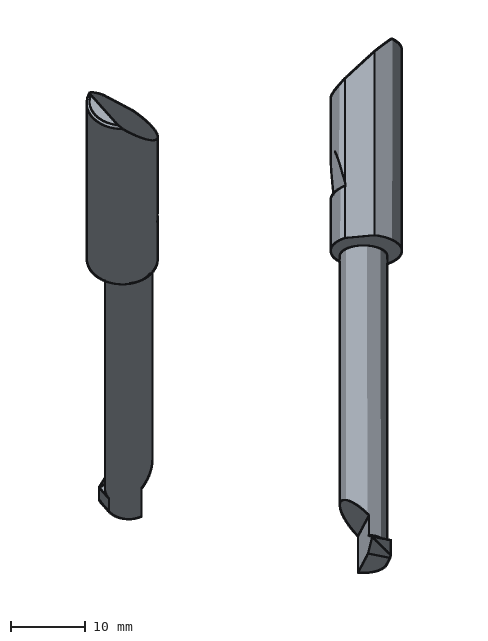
import cadquery as cq
import math

total_length = 76.2
shank_diameter = 9.525
shank_radius = shank_diameter / 2
shank_length = 30.4
shank_base = total_length - shank_length

neck_diameter = 6.35
neck_radius = neck_diameter / 2
neck_center_x = shank_radius - neck_radius

end_land_y = -2.84
end_chamfer_width = 0.4
end_chamfer_height = 0.3

flat_tilt = 25.0

notch_depth = 1.2
notch_ramp_angle = 10.0
notch_bottom = 53.65

relief_bottom = 5.45
relief_angle = 45.0

point_x = -3.39
point_z = 1.35
point_half_angle = 30.0
flank_clearance = 6.0
tip_height = 2.55
heel_left_x = -0.86
heel_right_x = 1.7


def prism_along_x(points):
    """Solid of a YZ outline that spans the whole part in X."""
    return cq.Workplane("YZ").polyline(points).close().extrude(shank_diameter, both=True)


def make_shank():
    shank = (
        cq.Workplane("XY")
        .workplane(offset=shank_base)
        .circle(shank_radius)
        .extrude(shank_length)
        .faces(">Z")
        .chamfer(end_chamfer_height, end_chamfer_width)
    )
    return shank.cut(end_bevel()).cut(locating_flat()).cut(clamping_notch())


def end_bevel():
    run = shank_diameter
    return prism_along_x([
        (end_land_y, total_length),
        (end_land_y + run, total_length - run),
        (end_land_y + run, total_length),
    ])


def locating_flat():
    """Block beyond the chord that starts at (-shank_radius, 0) and leans by the tilt."""
    tilt = math.radians(flat_tilt)
    chord_distance = shank_radius * math.cos(tilt)
    return (
        cq.Workplane("XY")
        .box(shank_radius, shank_diameter, shank_length, centered=(False, True, False))
        .translate((chord_distance, 0, shank_base))
        .rotate((0, 0, 0), (0, 0, 1), 180 - flat_tilt)
    )


def clamping_notch():
    """Ramp sinking toward the neck, closed by a wall square to it."""
    slope = math.tan(math.radians(notch_ramp_angle))
    floor_y = shank_radius - notch_depth
    outer_y = shank_radius + notch_depth
    reach = outer_y - floor_y
    return prism_along_x([
        (floor_y, notch_bottom),
        (outer_y, notch_bottom - reach * slope),
        (outer_y, notch_bottom + reach / slope),
    ])


def make_neck():
    neck = (
        cq.Workplane("XY")
        .center(neck_center_x, 0)
        .circle(neck_radius)
        .extrude(shank_base)
    )
    return neck.cut(neck_relief())


def neck_relief():
    rise = neck_diameter * math.tan(math.radians(relief_angle))
    return prism_along_x([
        (0, 0),
        (0, relief_bottom),
        (neck_diameter, relief_bottom + rise),
        (neck_diameter, 0),
    ])


def make_tip():
    """Wedge-shaped plan with its cutting face on Y = 0 and its heel on the -Y side."""
    return (
        cq.Workplane("XY")
        .polyline([
            (point_x, 0),
            (heel_left_x, -neck_radius),
            (heel_right_x, -neck_radius),
            (heel_right_x, 0),
        ])
        .close()
        .extrude(tip_height)
    )


def point_flank(end_z):
    """Waste between one flank of the point and the tip face at height end_z.

    The flank leans inward toward -Y by the clearance angle, so it widens away from the cutting face.
    """
    toward_end = math.copysign(1, end_z - point_z)
    drop = neck_diameter * math.tan(math.radians(flank_clearance))
    inner_z = point_z - toward_end * drop
    return (
        cq.Workplane("XZ")
        .polyline(flank_triangle(point_z, end_z))
        .close()
        .workplane(offset=neck_diameter)
        .polyline(flank_triangle(inner_z, end_z))
        .close()
        .loft(ruled=True)
    )


def flank_triangle(start_z, end_z):
    run = abs(end_z - start_z) / math.tan(math.radians(point_half_angle))
    return [
        (point_x, start_z),
        (point_x + run, end_z),
        (point_x, end_z),
    ]


bar = make_shank().union(make_neck()).union(make_tip())
result = bar.cut(point_flank(0)).cut(point_flank(tip_height))